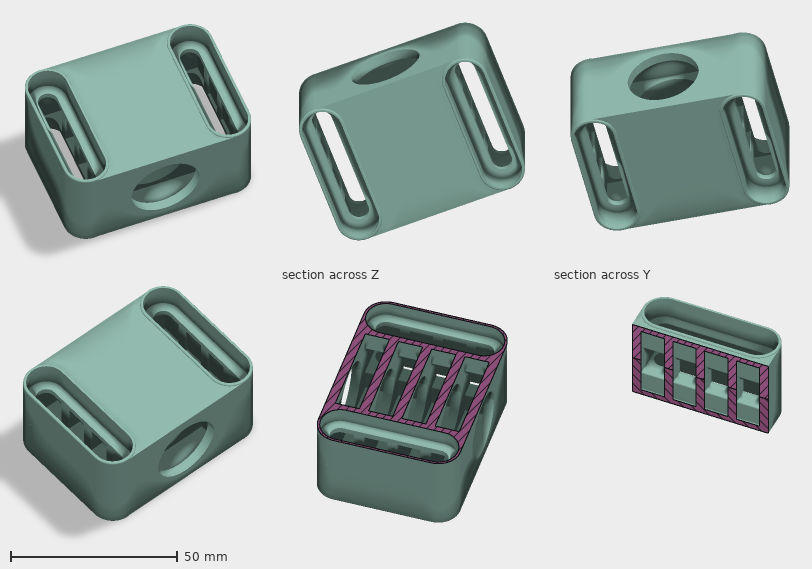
import cadquery as cq


length_x = 45.0
length_y = 60.0
half_height = 14.4
rim_height = 0.5
rim_fillet = rim_height
block_height = half_height - rim_height

end_width = 14.0
end_radius = end_width / 2
end_offset = (length_y - end_width) / 2
rim_wall = 0.9
pocket_depth = 7.5
slot_width = 6.2
straight_span = length_x - end_width

bore_radius = 11.05
bore_axis_drop = 0.65

chamber_count = 4
wall = 3.0
chamber_length = (length_x - (chamber_count + 1) * wall) / chamber_count
chamber_pitch = chamber_length + wall
chamber_half_width = 15.0
chamber_height = 12.0
side_recess_half_width = length_y / 2 - wall
side_recess_height = 5.05
chamber_fillet = 0.5


def racetrack(width, bottom, top):
    """Prism with round ends along X, concentric with the outer rounded end."""
    return (
        cq.Workplane("XY")
        .workplane(offset=bottom)
        .slot2D(straight_span + width, width)
        .extrude(top - bottom)
    )


def outer_block():
    block = (
        cq.Workplane("XY")
        .rect(length_x, length_y)
        .extrude(block_height)
        .edges("|Z")
        .fillet(end_radius)
    )
    rounded_end = racetrack(end_width, 0, half_height).faces(">Z").edges().fillet(rim_fillet)
    for side in (-1, 1):
        block = block.union(rounded_end.translate((0, side * end_offset, 0)))
    return block


def bolt_opening():
    """Deep pocket with a narrower slot through its floor."""
    pocket_width = end_width - 2 * rim_wall
    pocket = racetrack(pocket_width, half_height - pocket_depth, half_height)
    return pocket.union(racetrack(slot_width, 0, half_height))


def bore():
    return (
        cq.Workplane("YZ")
        .center(0, -bore_axis_drop)
        .circle(bore_radius)
        .extrude(length_x / 2, both=True)
    )


def chamber(start_x):
    """Stepped hollow: deep in the middle, shallow at both sides, with rounded steps."""
    middle = chamber_half_width
    side = side_recess_half_width
    profile = [
        (-side, 0),
        (-side, side_recess_height),
        (-middle, side_recess_height),
        (-middle, chamber_height),
        (middle, chamber_height),
        (middle, side_recess_height),
        (side, side_recess_height),
        (side, 0),
    ]
    hollow = cq.Workplane("YZ").workplane(offset=start_x).polyline(profile).close().extrude(chamber_length)
    step_box = cq.selectors.BoxSelector(
        (start_x, -middle - chamber_fillet, side_recess_height - chamber_fillet),
        (start_x + chamber_length, middle + chamber_fillet, chamber_height + chamber_fillet),
    )
    return hollow.edges("|X").edges(step_box).fillet(chamber_fillet)


def clamp_half():
    half = outer_block().cut(bore())
    for side in (-1, 1):
        half = half.cut(bolt_opening().translate((0, side * end_offset, 0)))
    for index in range(chamber_count):
        half = half.cut(chamber(-length_x / 2 + wall + index * chamber_pitch))
    return half


clamp_halves = []
for turn in (0, 180):
    turned_half = clamp_half().rotate((0, 0, 0), (1, 0, 0), turn)
    clamp_halves.append(turned_half.solids().val())

result = cq.Compound.makeCompound(clamp_halves)